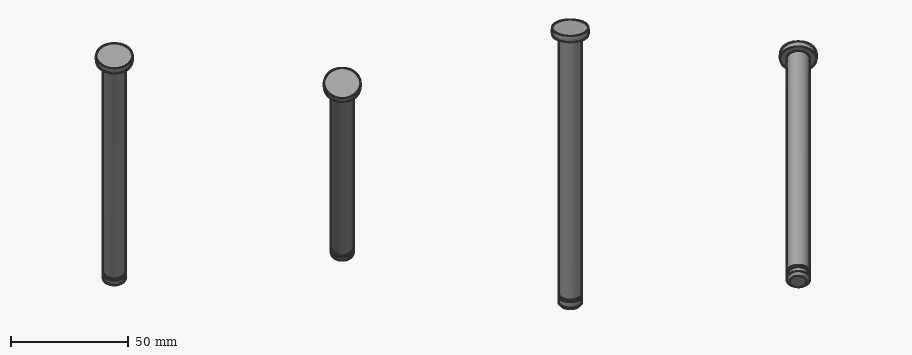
import cadquery as cq

total_length = 133.0
head_radius = 8.0
head_height = 3.0
rim_bulge = 0.3
shank_diameter = 10.0

groove_radius = 4.7
groove_width = 0.9
groove_to_tip = 4.1

tip_radius = 3.6
tip_chamfer_height = 1.5

shank_radius = shank_diameter / 2
head_face_radius = head_radius - rim_bulge
tip_z = -total_length / 2
top_z = total_length / 2
head_bottom_z = top_z - head_height
groove_bottom_z = tip_z + groove_to_tip
groove_top_z = groove_bottom_z + groove_width

half_section = (
    cq.Workplane("XZ")
    .moveTo(0, tip_z)
    .lineTo(tip_radius, tip_z)
    .lineTo(shank_radius, tip_z + tip_chamfer_height)
    .lineTo(shank_radius, groove_bottom_z)
    .lineTo(groove_radius, groove_bottom_z)
    .lineTo(groove_radius, groove_top_z)
    .lineTo(shank_radius, groove_top_z)
    .lineTo(shank_radius, head_bottom_z)
    .lineTo(head_face_radius, head_bottom_z)
    .threePointArc((head_radius, top_z - head_height / 2), (head_face_radius, top_z))
    .lineTo(0, top_z)
    .close()
)

result = half_section.revolve(360, (0, 0, 0), (0, 1, 0))